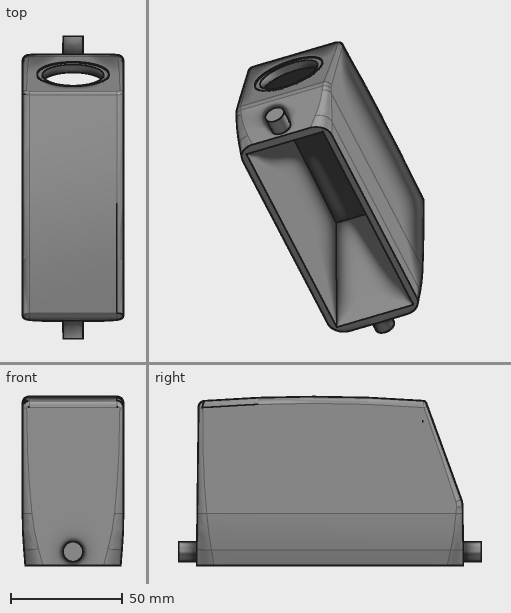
import cadquery as cq
import math

max_width = 45.5
base_length = 120.0
end_draft = 0.7

crown_height = 76.0
crown_center_y = -7.0
crown_radius = 640.0

skirt_height = 7.0
bend_height = 23.5
bend_radius = 200.0

slope_angle = 20.0
slope_corner_z = 28.2
slope_blend_radius = 10.0

front_corner_radii = [(0, 7.75), (skirt_height, 6.5), (bend_height, 4.2), (crown_height, 1.7)]
rear_corner_radii = [
    (0, 7.5),
    (skirt_height, 5.8),
    (bend_height, 3.2),
    (slope_corner_z, 2.8),
    (crown_height, 1.7),
]

crown_fillet = 3.0
slope_crown_fillet = 1.8

wall = 4.3

entry_diameter = 27.6
recess_diameter = 32.4
recess_depth = 0.5
entry_center_y = 51.0
entry_cut_length = 2 * wall

pin_diameter = 9.0
pin_height = 6.25
pin_span = 136.0

half_width = max_width / 2
half_base = base_length / 2
draft_slope = math.tan(math.radians(end_draft))
entry_slope = math.tan(math.radians(slope_angle))
entry_cosine = math.cos(math.radians(slope_angle))
slope_corner_y = half_base - slope_corner_z * draft_slope


def end_y(z, inset):
    """Distance of the drafted ends from the origin at height z."""
    return half_base - inset - z * draft_slope


def slope_y(z, inset):
    """Y of the sloped face at height z."""
    return slope_corner_y - (z - slope_corner_z) * entry_slope - inset / entry_cosine


def crown_z(y, inset):
    """Height of the crown arc at position y."""
    radius = crown_radius - inset
    return crown_height - crown_radius + math.sqrt(radius**2 - (y - crown_center_y) ** 2)


def lengthwise_solid(half_thickness, inset=0.0):
    """Side outline with drafted ends, crown and slope, moved in by inset and extruded along X."""
    corner_shift = inset - inset / entry_cosine
    corner_z = slope_corner_z + corner_shift / (entry_slope - draft_slope)
    front_top_y = -end_y(crown_z(-half_base + inset, inset), inset)
    rear_top_y = slope_y(crown_z(slope_y(crown_height, inset), inset), inset)
    return (
        cq.Workplane("YZ")
        .moveTo(-end_y(0, inset), 0)
        .lineTo(end_y(0, inset), 0)
        .lineTo(end_y(corner_z, inset), corner_z)
        .lineTo(rear_top_y, crown_z(rear_top_y, inset))
        .threePointArc((crown_center_y, crown_height - inset), (front_top_y, crown_z(front_top_y, inset)))
        .close()
        .extrude(half_thickness, both=True)
    )


def crosswise_solid():
    """End outline with the bent-in skirts, extruded along the length."""
    sweep = math.asin((bend_height - skirt_height) / bend_radius)
    skirt_x = half_width - bend_radius * (1 - math.cos(sweep))
    base_x = skirt_x - skirt_height * math.tan(sweep)
    mid_x = half_width - bend_radius * (1 - math.cos(sweep / 2))
    mid_z = bend_height - bend_radius * math.sin(sweep / 2)
    return (
        cq.Workplane("XZ")
        .moveTo(-base_x, 0)
        .lineTo(base_x, 0)
        .lineTo(skirt_x, skirt_height)
        .threePointArc((mid_x, mid_z), (half_width, bend_height))
        .lineTo(half_width, crown_height)
        .lineTo(-half_width, crown_height)
        .lineTo(-half_width, bend_height)
        .threePointArc((-mid_x, mid_z), (-skirt_x, skirt_height))
        .close()
        .extrude(half_base, both=True)
    )


def corner_radius(point):
    """Radius of the upright corner at a point on it, interpolated over the height."""
    stations = front_corner_radii if point.y < 0 else rear_corner_radii
    for (low_z, low_radius), (high_z, high_radius) in zip(stations, stations[1:]):
        if point.z <= high_z:
            share = (point.z - low_z) / (high_z - low_z)
            return low_radius + (high_radius - low_radius) * share
    return stations[-1][1]


def round_body(body):
    """Round the upright corners with a varying radius, together with the crown edges."""
    rounding = cq.occ_impl.shapes.BRepFilletAPI_MakeFillet(body.wrapped)
    for edge in body.Edges():
        start = edge.startPoint()
        end = edge.endPoint()
        center = edge.Center()
        on_side = abs(center.x) > half_width / 2
        along_length = start.y * end.y < 0
        at_crown = center.z > crown_height - 2 * crown_fillet
        if on_side and not along_length:
            rounding.Add(edge.wrapped)
            for vertex in edge.Vertices():
                radius = corner_radius(vertex.Center())
                rounding.SetRadius(radius, rounding.Contour(edge.wrapped), vertex.wrapped)
        elif at_crown and not on_side and center.y > 0:
            rounding.Add(slope_crown_fillet, edge.wrapped)
        elif at_crown:
            rounding.Add(crown_fillet, edge.wrapped)
    return cq.Workplane(cq.Shape.cast(rounding.Shape()))


def hood_body():
    """Solid hood with all its outer rounding."""
    slope_corner = cq.selectors.NearestToPointSelector((0, slope_corner_y, slope_corner_z))
    blank = lengthwise_solid(half_width).edges(slope_corner).fillet(slope_blend_radius)
    return round_body(blank.intersect(crosswise_solid()).solids().val())


def cable_entry():
    """Bore and shallow recess sunk square into the sloped face."""
    rise = (slope_corner_y - entry_center_y) / entry_slope
    face = cq.Plane(
        origin=(0, entry_center_y, slope_corner_z + rise),
        xDir=(1, 0, 0),
        normal=(0, entry_cosine, math.sin(math.radians(slope_angle))),
    )
    bore = cq.Workplane(face).circle(entry_diameter / 2).extrude(entry_cut_length, both=True)
    recess = cq.Workplane(face).circle(recess_diameter / 2).extrude(recess_depth, both=True)
    return bore.union(recess)


def locking_pin(side):
    """Round pin on the end wall facing side (+1 or -1 along Y)."""
    root_y = half_base - wall / 2
    pin = cq.Workplane("XZ", origin=(0, side * root_y, pin_height)).circle(pin_diameter / 2)
    return pin.extrude(-side * (pin_span / 2 - root_y))


result = hood_body().cut(lengthwise_solid(half_width - wall, wall)).cut(cable_entry())
for side in (-1, 1):
    result = result.union(locking_pin(side))